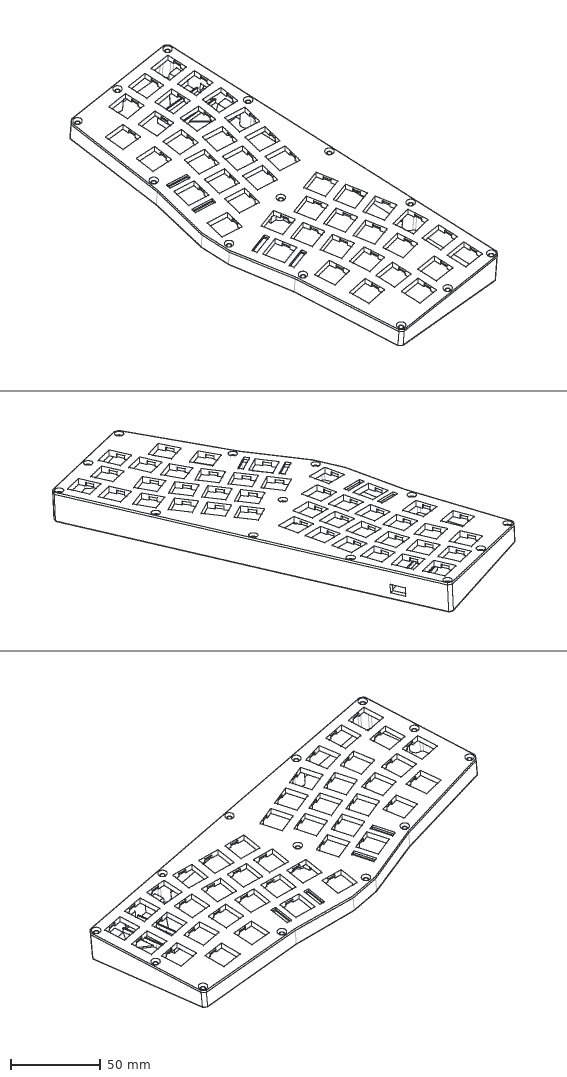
import cadquery as cq
import math

LENGTH = 249.5
DEPTH = 99.8
HEIGHT = 20.0
TILT = 5.0
SIN_TILT = math.sin(math.radians(TILT))
COS_TILT = math.cos(math.radians(TILT))
MID_X = LENGTH / 2
TOLERANCE = 0.002
TALL = 30.0

BASE_CHAMFER = 1.0
CORNER_CHAMFER = 2.0
TOE_HALF_WIDTH = 10.2
BEND_HALF_WIDTH = 51.6
TOE_ANGLE = 12.0
WING_ANGLE = 6.0
BACK_SLANT_HEIGHT = (HEIGHT + BASE_CHAMFER * SIN_TILT) / COS_TILT
FRONT_Y = -BASE_CHAMFER * SIN_TILT
OUTLINE_DEPTH = (DEPTH - FRONT_Y - BACK_SLANT_HEIGHT * SIN_TILT) / COS_TILT
FRONT_Z = (OUTLINE_DEPTH - BASE_CHAMFER) * SIN_TILT
BEND_Y = (BEND_HALF_WIDTH - TOE_HALF_WIDTH) * math.tan(math.radians(TOE_ANGLE))
SIDE_Y = BEND_Y + (MID_X - BEND_HALF_WIDTH) * math.tan(math.radians(WING_ANGLE))

WALL = 3.0
FLOOR = 2.0

PLATE_RIM = 1.5
PLATE_THICKNESS = 3.7
SEAT_Z = HEIGHT - PLATE_RIM

SCREW_HEAD_D = 5.2
SCREW_HOLE_D = 3.0
SCREW_THREAD_D = 2.5
SCREW_THREAD_DEPTH = 6.2
POST_D = 7.5
POST_FILLET = 1.2
BACK_SCREW_Y = 96.5
CENTRE_SCREW = (128.7, 51.1)
SCREWS = [
    *[(x, BACK_SCREW_Y) for x in (3.5, 63.9, 124.7, 185.5, 246.0)],
    (3.5, 54.5), (246.0, 59.9), CENTRE_SCREW,
    (3.5, 20.7), (246.0, 20.7), (66.5, 14.0), (178.4, 14.0), (131.2, 4.7),
]
RIB_REACH = 8.0
RIB_WIDTH = 1.5

KEY = 14.0
KEY_PITCH = 19.03
CLIP_WIDTH = 5.0
CLIP_DEPTH = 1.0
KEY_ROWS = [
    (13.7, 86.0, 0, 1), (33.0, 86.8, 0, 1), (52.1, 86.0, -6, 1), (71.5, 82.8, -12, 3),
    (138.5, 73.8, 12, 3), (195.5, 85.3, 6, 1), (216.0, 86.8, 0, 1), (235.5, 86.0, 0, 1),
    (13.7, 66.9, 0, 1), (33.0, 67.5, 0, 1), (52.6, 66.9, -6, 1), (72.3, 63.0, -12, 3),
    (147.0, 56.1, 12, 3), (203.8, 67.4, 6, 1), (230.5, 66.9, 0, 1),
    (16.2, 47.6, 0, 1), (37.7, 48.5, 0, 1), (57.6, 46.6, -6, 1), (76.8, 43.0, -12, 3),
    (140.7, 35.5, 12, 3), (197.0, 47.0, 6, 1), (216.3, 47.6, 0, 2),
    (31.0, 28.2, -3, 1), (55.5, 26.7, -6, 1), (89.0, 20.5, -12, 1), (119.5, 14.2, -12, 1),
    (156.2, 19.5, 12, 1), (189.5, 26.0, 6, 1), (213.8, 28.2, 3, 1),
]

STAB_WIDTH = 3.2
STAB_OFFSET = 12.0
STAB_RELIEF = 1.0
STAB_SPOTS = [(89.0, 20.2, -12), (156.2, 19.0, 12)]

FOOT_D = 12.0
FOOT_DEPTH = 1.0
FOOT_SIDE_X = 10.0
FOOT_BACK_Y = 90.5
FEET = [
    *[(x, FOOT_BACK_Y) for x in (FOOT_SIDE_X, MID_X, LENGTH - FOOT_SIDE_X)],
    (FOOT_SIDE_X, 24.0), (MID_X, 8.7), (LENGTH - FOOT_SIDE_X, 24.0),
]

CRADLE_X = 33.5
CRADLE_BASE = 1.0
CRADLE_HEIGHT = 3.7
CRADLE_WALL = 0.7
STEM_WIDTH = 14.2
STEM_FRONT_Y = 62.9
TONGUE_WIDTH = 10.5
TONGUE_FRONT_Y = 60.4
FUNNEL_HALF_WIDTH = 22.7
FUNNEL_SHOULDER_Y = 89.3
LEDGE_LENGTH = 9.0
LEDGE_Z = 10.5
LEDGE_FRONT_Y = 90.0
LEDGE_TOE_Y = 85.5
FIN_WIDTH = 1.2
FIN_FROM_END = 4.2
FIN_FRONT_Y = 85.3
FIN_Z = 6.5
PORT_WIDTH = 9.5
PORT_BOTTOM_Z = 4.5
PORT_HEIGHT = 5.5
PORT_REACH = 7.5


def tilted(body):
    """Place a body that was built on a level bottom onto the sloping bottom."""
    return body.rotate((0, 0, 0), (1, 0, 0), -TILT).translate((0, FRONT_Y, FRONT_Z))


def level_slab(bottom, top):
    size = 3 * LENGTH
    return cq.Workplane("XY", origin=(0, 0, bottom)).rect(size, size).extrude(top - bottom)


def outline(inset=0.0):
    left_half = [
        (0, OUTLINE_DEPTH),
        (0, SIDE_Y),
        (MID_X - BEND_HALF_WIDTH, BEND_Y),
        (MID_X - TOE_HALF_WIDTH, 0),
    ]
    right_half = [(LENGTH - x, y) for x, y in reversed(left_half)]
    profile = cq.Workplane("XY").polyline(left_half + right_half).close()
    return profile.offset2D(-inset, "intersection") if inset else profile


def on_bottom(x, y):
    """Point of the sloping bottom whose normal meets the plate top at (x, y)."""
    return (x, (y - FRONT_Y) * COS_TILT - (HEIGHT - FRONT_Z) * SIN_TILT)


def copies(body, spots):
    """Copies of a body at (x, y, turn) spots, as one compound."""
    places = [cq.Location(cq.Vector(x, y, 0), cq.Vector(0, 0, 1), turn) for x, y, turn in spots]
    return cq.Compound.makeCompound([body.val().moved(place) for place in places])


def outer_block():
    block = outline().extrude(TALL).edges("|Z").edges("<X or >X").chamfer(CORNER_CHAMFER)
    return tilted(block.faces("<Z").chamfer(BASE_CHAMFER))


def meets_post(edge, posts):
    """True for an upright edge on the rim of a post, where the post runs into the wall."""
    middle = edge.Center()
    return any(abs(math.hypot(middle.x - x, middle.y - y) - POST_D / 2) < TOLERANCE for x, y in posts)


def cavity():
    """Space inside the case, with every screw post left standing."""
    posts = [on_bottom(x, y) for x, y in SCREWS]
    wall_posts = [on_bottom(x, y) for x, y in SCREWS if (x, y) != CENTRE_SCREW]
    space = outline(WALL).extrude(TALL)
    space = space.cut(cq.Workplane("XY").pushPoints(posts).circle(POST_D / 2).extrude(TALL))
    space = space.edges("|Z").filter(lambda edge: meets_post(edge, wall_posts)).fillet(POST_FILLET)
    return tilted(space.translate((0, 0, FLOOR)))


def centre_ribs():
    """Cross of ribs that braces the centre post up to the underside of the plate."""
    spot = on_bottom(*CENTRE_SCREW)
    ribs = cq.Workplane("XY", origin=(*spot, FLOOR / 2)).rect(2 * RIB_REACH, RIB_WIDTH).extrude(TALL)
    ribs = ribs.union(cq.Workplane("XY", origin=(*spot, FLOOR / 2)).rect(RIB_WIDTH, 2 * RIB_REACH).extrude(TALL))
    return tilted(ribs).intersect(level_slab(0, HEIGHT - PLATE_THICKNESS))


def make_case(block, space):
    case = block.cut(space).intersect(level_slab(0, SEAT_Z)).union(centre_ribs())
    threads = cq.Workplane("XY", origin=(0, 0, SEAT_Z)).pushPoints(SCREWS)
    case = case.cut(threads.circle(SCREW_THREAD_D / 2).extrude(-SCREW_THREAD_DEPTH))
    feet = cq.Workplane("XY").pushPoints(FEET).circle(FOOT_D / 2).extrude(FOOT_DEPTH)
    port = cq.Workplane("XZ", origin=(CRADLE_X, DEPTH, PORT_BOTTOM_Z + PORT_HEIGHT / 2))
    port = port.rect(PORT_WIDTH, PORT_HEIGHT).extrude(PORT_REACH)
    return case.cut(tilted(feet)).cut(port)


def key_spots():
    for x, y, turn, count in KEY_ROWS:
        step_x = KEY_PITCH * math.cos(math.radians(turn))
        step_y = KEY_PITCH * math.sin(math.radians(turn))
        for place in range(count):
            yield x + place * step_x, y + place * step_y, turn


def stab_spots():
    """Two slots beside every wide key, spaced along its turned row."""
    for x, y, turn in STAB_SPOTS:
        for offset in (-STAB_OFFSET, STAB_OFFSET):
            along = math.radians(turn)
            yield x + offset * math.cos(along), y + offset * math.sin(along), turn


def prism(width, depth, top):
    return cq.Workplane("XY").rect(width, depth).extrude(top)


def make_plate(block, space):
    rim = block.intersect(level_slab(SEAT_Z, HEIGHT))
    plate = rim.union(space.intersect(level_slab(HEIGHT - PLATE_THICKNESS, SEAT_Z)))

    keys = list(key_spots())
    stabs = list(stab_spots())
    plate = plate.cut(copies(prism(KEY, KEY, TALL), keys))
    plate = plate.cut(copies(prism(CLIP_WIDTH, KEY + 2 * CLIP_DEPTH, SEAT_Z), keys))
    plate = plate.cut(copies(prism(STAB_WIDTH, KEY, TALL), stabs))
    plate = plate.cut(copies(prism(STAB_WIDTH + 2 * STAB_RELIEF, KEY + 2 * STAB_RELIEF, SEAT_Z), stabs))

    screw_spots = [(x, y, 0) for x, y in SCREWS]
    cone = cq.Solid.makeCone(SCREW_HOLE_D / 2, SCREW_HEAD_D / 2, PLATE_RIM, cq.Vector(0, 0, SEAT_Z))
    return plate.cut(copies(cq.Workplane(cone), screw_spots))


def cradle_outline(height):
    """Funnel at the back wall that narrows at 45 degrees into a stem with a short tongue."""
    half_stem = STEM_WIDTH / 2
    half_tongue = TONGUE_WIDTH / 2
    neck_y = FUNNEL_SHOULDER_Y - (FUNNEL_HALF_WIDTH - half_stem)
    right_half = [
        (half_tongue, TONGUE_FRONT_Y),
        (half_tongue, STEM_FRONT_Y),
        (half_stem, STEM_FRONT_Y),
        (half_stem, neck_y),
        (FUNNEL_HALF_WIDTH, FUNNEL_SHOULDER_Y),
        (FUNNEL_HALF_WIDTH, DEPTH),
    ]
    left_half = [(-x, y) for x, y in reversed(right_half)]
    profile = cq.Workplane("XY", origin=(CRADLE_X, 0, 0)).polyline(right_half + left_half).close()
    return tilted(profile.extrude(height))


def cradle_walls():
    """Two side walls along the stem and a block that closes its front."""
    length = DEPTH - STEM_FRONT_Y
    height = FLOOR + CRADLE_HEIGHT
    side_x = (STEM_WIDTH - CRADLE_WALL) / 2
    sides = cq.Workplane("XY", origin=(CRADLE_X, STEM_FRONT_Y + length / 2, 0))
    sides = sides.pushPoints([(-side_x, 0), (side_x, 0)]).rect(CRADLE_WALL, length).extrude(height)
    tongue = cq.Workplane("XY", origin=(CRADLE_X, (TONGUE_FRONT_Y + STEM_FRONT_Y) / 2, 0))
    tongue = tongue.rect(TONGUE_WIDTH, STEM_FRONT_Y - TONGUE_FRONT_Y).extrude(height)
    return tilted(sides.union(tongue))


def cradle_ledges():
    """Level ledges at both ends of the funnel, each with a sloping front and an upright fin."""
    ledge_profile = [(LEDGE_TOE_Y, 0), (LEDGE_FRONT_Y, LEDGE_Z), (DEPTH, LEDGE_Z), (DEPTH, 0)]
    fin_profile = [(FIN_FRONT_Y, 0), (FIN_FRONT_Y, FIN_Z), (DEPTH, FIN_Z), (DEPTH, 0)]
    end_x = CRADLE_X - FUNNEL_HALF_WIDTH
    ledge = cq.Workplane("YZ", origin=(end_x, 0, 0)).polyline(ledge_profile).close().extrude(LEDGE_LENGTH)
    fin = cq.Workplane("YZ", origin=(end_x + FIN_FROM_END, 0, 0)).polyline(fin_profile).close().extrude(FIN_WIDTH)
    left = ledge.union(fin)
    ledges = left.union(left.mirror("YZ", (CRADLE_X, 0, 0)))
    return ledges.intersect(cradle_outline(TALL))


def make_cradle(space):
    base = cradle_outline(FLOOR + CRADLE_BASE)
    return base.union(cradle_walls()).union(cradle_ledges()).intersect(space)


outer = outer_block()
inside = cavity()
case = make_case(outer, inside)
plate = make_plate(outer, inside)
cradle = make_cradle(inside)

result = cq.Compound.makeCompound([case.val(), plate.val(), cradle.val()])